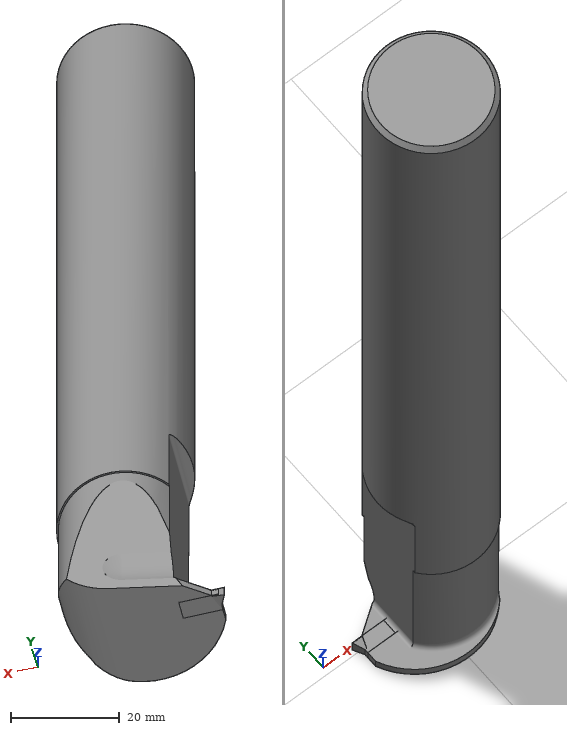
import cadquery as cq
import math


overall_length = 200.0
overall_width = 31.5
shank_diameter = 25.5
shank_radius = shank_diameter / 2
shank_chamfer = 1.0

neck_radius = 12.5
neck_top = 31.8
flat_depth = 2.5
flat_x = flat_depth - shank_radius
flat_top = 51.2
flat_fillet = 1.2

foot_bottom = 0.5
foot_top = 2.5
foot_radius = 15.8
foot_center_x = -3.2
foot_center_y = 1.0
foot_fillet = 1.0
foot_side_angle = 35.0

heel_radius = 10.5
relief_lean_angle = 13.5
relief_turn_angle = 11.5
relief_y = 3.8
scoop_width = 7.0
scoop_depth = 0.5
scoop_start_x = -18.0
scoop_end_x = -1.0

tip_x = shank_radius - overall_width
tip_y = 0.0
insert_side_x = -17.5
insert_back_y = 0.2
insert_front_y = -3.2
tip_width = 2.5
tip_height = 2.8
tip_length = 2.5
tip_end_width = 0.5

clear = 80.0
margin = 0.2


def make_flat_cutter():
    """Block that leaves the flat, with its upper inside corner rounded."""
    center_x = flat_x - clear / 2
    cutter = cq.Workplane("XY").box(clear, clear, flat_top + clear, centered=(True, True, False))
    cutter = cutter.translate((center_x, 0, -clear))
    return cutter.edges(">X and >Z").fillet(flat_fillet)


def make_shank():
    shank = cq.Workplane("XY").workplane(offset=neck_top).circle(shank_radius).extrude(overall_length - neck_top)
    return shank.faces(">Z").chamfer(shank_chamfer).cut(make_flat_cutter())


def make_foot_outline():
    """Tall prism over the foot: a round rim, a straight insert end and a slanted rear side."""
    rim_right_x = foot_center_x + foot_radius
    rim_bottom_y = foot_center_y - foot_radius
    rim_left_y = foot_center_y - math.sqrt(foot_radius**2 - (insert_side_x - foot_center_x) ** 2)
    side_start_x = tip_x + tip_width
    side_end_y = insert_back_y - side_start_x * math.tan(math.radians(foot_side_angle))
    return (
        cq.Workplane("XY")
        .moveTo(rim_right_x, foot_center_y)
        .threePointArc((foot_center_x, rim_bottom_y), (insert_side_x, rim_left_y))
        .lineTo(insert_side_x, insert_back_y)
        .lineTo(side_start_x, insert_back_y)
        .lineTo(0, side_end_y)
        .close()
        .extrude(neck_top)
    )


def make_neck_and_foot():
    neck = cq.Workplane("XY").workplane(offset=foot_bottom).circle(neck_radius).extrude(neck_top - foot_bottom)
    neck = neck.cut(make_flat_cutter())
    plate = cq.Workplane("XY").workplane(offset=foot_bottom).circle(clear / 2).extrude(foot_top - foot_bottom)
    reach = neck_radius + margin
    root_edges = cq.selectors.BoxSelector(
        (-reach, -reach, foot_top - margin),
        (reach, reach, foot_top + margin),
    )
    rooted = neck.union(plate).edges(root_edges).fillet(foot_fillet)
    return rooted.intersect(make_foot_outline().union(neck))


def make_heel_cutter():
    """Removes the lower +X corner, leaving a quarter round."""
    side_x = neck_radius
    arc_x = side_x - heel_radius
    arc_z = foot_bottom + heel_radius
    mid_shift = heel_radius / math.sqrt(2)
    outer_x = foot_center_x + foot_radius + margin
    return (
        cq.Workplane("XZ")
        .moveTo(arc_x, foot_bottom)
        .threePointArc((arc_x + mid_shift, arc_z - mid_shift), (side_x, arc_z))
        .lineTo(outer_x, arc_z)
        .lineTo(outer_x, foot_bottom - margin)
        .lineTo(arc_x, foot_bottom - margin)
        .close()
        .extrude(clear / 2, both=True)
    )


def relief_point(x, z):
    """Point of the slanted relief plane at the given X and Z."""
    rise = (z - foot_bottom) * math.tan(math.radians(relief_lean_angle))
    run = (x - flat_x) * math.tan(math.radians(relief_turn_angle))
    return cq.Vector(x, relief_y + rise + run, z)


def relief_normal():
    """Unit normal of the relief plane, pointing away from the holder."""
    lean = math.tan(math.radians(relief_lean_angle))
    turn = math.tan(math.radians(relief_turn_angle))
    return cq.Vector(-turn, 1, -lean).normalized()


def make_relief_cutter():
    plane = cq.Plane(origin=relief_point(flat_x, foot_bottom).toTuple(), normal=relief_normal().toTuple())
    return cq.Workplane(plane).rect(2 * clear, 2 * clear).extrude(clear)


def make_scoop_cutter():
    """Shallow round-ended chip groove along the relief plane, just above the foot."""
    scoop_radius = ((scoop_width / 2) ** 2 + scoop_depth**2) / (2 * scoop_depth)
    scoop_z = foot_top + scoop_width / 2
    lift = relief_normal() * (scoop_radius - scoop_depth)
    start = relief_point(scoop_start_x, scoop_z) + lift
    end = relief_point(scoop_end_x, scoop_z) + lift
    run = end - start
    groove = cq.Solid.makeCylinder(scoop_radius, run.Length, start, run)
    ball = cq.Workplane("XY").sphere(scoop_radius).translate(end)
    return ball.union(cq.Workplane(groove))


def make_tip_section(y, left_x, right_x, left_bottom, right_bottom, top):
    """Upright four-sided section across the cutting tip at the given Y."""
    return cq.Wire.makePolygon([
        cq.Vector(left_x, y, left_bottom),
        cq.Vector(right_x, y, right_bottom),
        cq.Vector(right_x, y, top),
        cq.Vector(left_x, y, top),
    ], close=True)


def make_insert():
    """Block set into the foot plate, with an overhanging tip that tapers away from its cutting face."""
    block = cq.Workplane("XY").box(
        flat_x - insert_side_x,
        insert_back_y - insert_front_y,
        foot_top - foot_bottom,
        centered=False,
    ).translate((insert_side_x, insert_front_y, foot_bottom))
    cutting_face = make_tip_section(tip_y, tip_x, tip_x + tip_width, 0, foot_bottom, tip_height)
    tip_end = make_tip_section(
        tip_y - tip_length,
        insert_side_x,
        insert_side_x + tip_end_width,
        foot_bottom,
        foot_bottom,
        foot_top,
    )
    tip = cq.Solid.makeLoft([cutting_face, tip_end], True)
    return block.union(cq.Workplane(tip))


insert = make_insert()
holder = (
    make_shank()
    .union(make_neck_and_foot())
    .cut(make_heel_cutter())
    .cut(make_relief_cutter())
    .cut(make_scoop_cutter())
    .cut(insert)
)

result = cq.Compound.makeCompound([holder.solids().val(), insert.solids().val()])